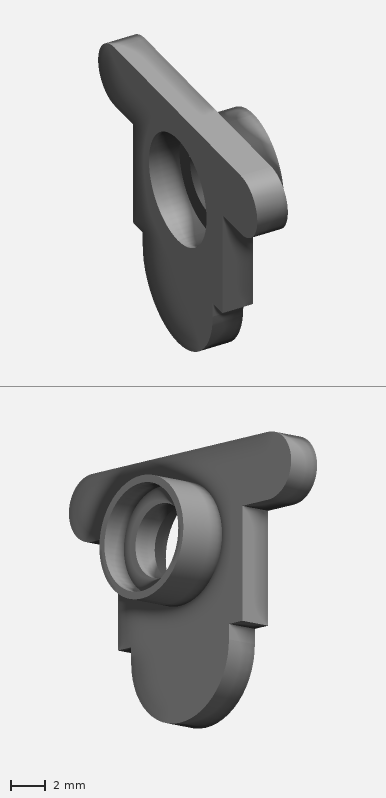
import cadquery as cq

half_span = 9.65
arm_radius = 2.0
arm_height = 2 * arm_radius
body_half_width = 5.4
body_bottom = -10.81
tongue_radius = 4.25
total_height = 15.97
tongue_center_z = tongue_radius - total_height

plate_thickness = 2.0
total_depth = 5.0

bore_z = -5.4
boss_radius = 3.65
counterbore_radius = 3.5
counterbore_depth = 2.0
bore_radius = 2.2
rear_recess_radius = 3.2
rear_recess_depth = 1.5


def cylinder_y(radius, start, end):
    """Cylinder on the bore axis, from Y = start to Y = end."""
    return (
        cq.Workplane("XZ", origin=(0, start, bore_z))
        .circle(radius)
        .extrude(start - end)
    )


def half_plate():
    """Plate on the +X side of the joint: rounded arm, body and round tongue."""
    arm_center_x = half_span - arm_radius
    return (
        cq.Workplane("XZ")
        .moveTo(0, 0)
        .lineTo(arm_center_x, 0)
        .threePointArc((half_span, -arm_radius), (arm_center_x, -arm_height))
        .lineTo(body_half_width, -arm_height)
        .lineTo(body_half_width, body_bottom)
        .lineTo(tongue_radius, body_bottom)
        .lineTo(tongue_radius, tongue_center_z)
        .radiusArc((0, -total_height), tongue_radius)
        .close()
        .extrude(-plate_thickness)
    )


def half_boss():
    """Half of the boss on the +X side, standing on the back of the plate."""
    positive_x_side = cq.Workplane("XY").box(
        half_span, total_depth, 2 * total_height, centered=(False, False, True)
    )
    return cylinder_y(boss_radius, plate_thickness, total_depth).intersect(positive_x_side)


def half_housing():
    """One half of the flanged housing, with its share of the stepped bore."""
    return (
        half_plate()
        .union(half_boss())
        .cut(cylinder_y(bore_radius, 0, total_depth))
        .cut(cylinder_y(counterbore_radius, 0, counterbore_depth))
        .cut(cylinder_y(rear_recess_radius, total_depth - rear_recess_depth, total_depth))
    )


right_half = half_housing()
left_half = right_half.mirror("YZ")

result = cq.Compound.makeCompound([left_half.val(), right_half.val()])